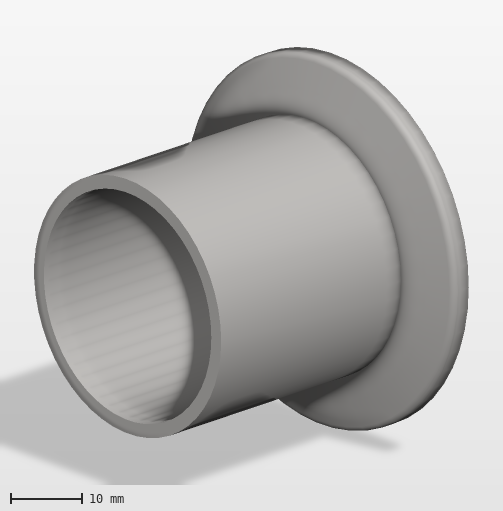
import cadquery as cq
import math

flange_diameter = 55.0
tube_outer_diameter = 38.1
bore_diameter = 34.1
overall_length = 40.0
flange_depth = 5.2
taper_angle = 15.0
rim_radius = 1.0
face_edge_radius = 0.2

flange_radius = flange_diameter / 2
tube_radius = tube_outer_diameter / 2
bore_radius = bore_diameter / 2

face_y = overall_length / 2
open_end_y = -overall_length / 2
taper_root_y = face_y - flange_depth
taper = math.radians(taper_angle)

rim_corner_y = taper_root_y + (flange_radius - tube_radius) * math.tan(taper)

rim_round_turn = math.pi / 2 - taper
rim_round_x = flange_radius - rim_radius
rim_round_y = rim_corner_y + rim_radius * math.tan(rim_round_turn / 2)


def rim_round_point(angle):
    """Point on the rim round, at an angle turned from the rim toward -Y."""
    return (
        rim_round_x + rim_radius * math.cos(angle),
        rim_round_y - rim_radius * math.sin(angle),
    )


face_round_x = flange_radius - face_edge_radius
face_round_y = face_y - face_edge_radius
face_round_mid = face_edge_radius * math.sqrt(0.5)

half_section = (
    cq.Workplane("XY")
    .moveTo(bore_radius, open_end_y)
    .lineTo(tube_radius, open_end_y)
    .lineTo(tube_radius, taper_root_y)
    .lineTo(*rim_round_point(rim_round_turn))
    .threePointArc(rim_round_point(rim_round_turn / 2), rim_round_point(0))
    .lineTo(flange_radius, face_round_y)
    .threePointArc(
        (face_round_x + face_round_mid, face_round_y + face_round_mid),
        (face_round_x, face_y),
    )
    .lineTo(bore_radius, face_y)
    .close()
)

result = half_section.revolve(360, (0, 0, 0), (0, 1, 0))